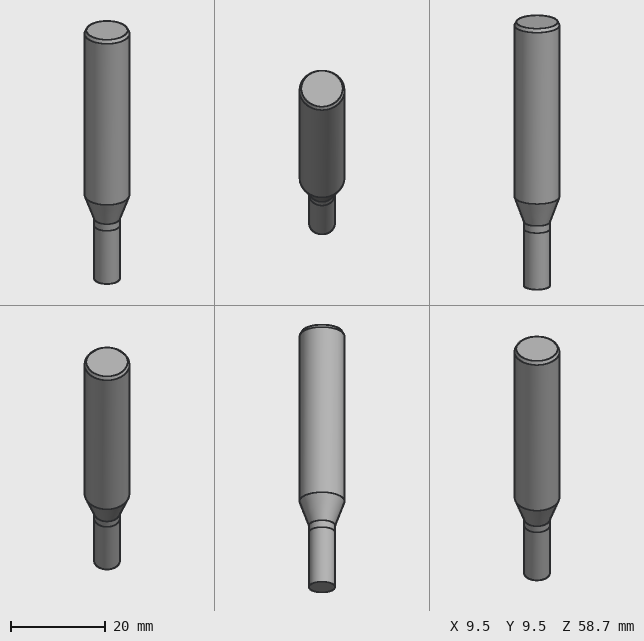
import cadquery as cq

total_length = 58.7
shank_diameter = 9.5
tip_diameter = 5.5

tip_length = 12.6
neck_top = 14.2
taper_top = 19.8

bevel_height = 0.75
bevel_width = 0.4


def make_tip():
    """Plain cylindrical working end."""
    return cq.Workplane("XY").circle(tip_diameter / 2).extrude(tip_length)


def make_shank():
    """Revolved holder: short neck, cone, long cylinder and bevelled upper end."""
    neck_radius = tip_diameter / 2
    shank_radius = shank_diameter / 2
    return (
        cq.Workplane("XZ")
        .moveTo(0, tip_length)
        .lineTo(neck_radius, tip_length)
        .lineTo(neck_radius, neck_top)
        .lineTo(shank_radius, taper_top)
        .lineTo(shank_radius, total_length - bevel_height)
        .lineTo(shank_radius - bevel_width, total_length)
        .lineTo(0, total_length)
        .close()
        .revolve(360, (0, 0, 0), (0, 1, 0))
    )


tip = make_tip()
shank = make_shank()

result = cq.Compound.makeCompound([tip.val(), shank.val()])